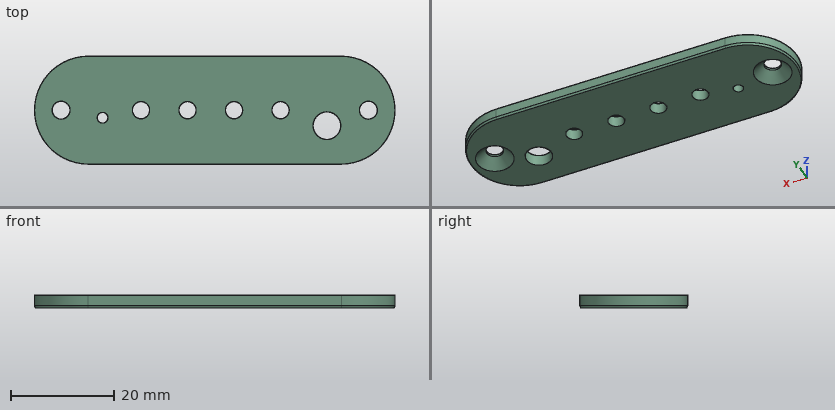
import cadquery as cq

length = 70.0
width = 21.0
thickness = 2.5
end_arc_start = 24.6

chamfer_height = 0.5
chamfer_inset = 0.2

row_count = 4
row_pitch = 9.0
row_center_x = -0.8
row_diameter = 3.3

screw_x = 29.8
screw_diameter = 3.4
screw_lip = 0.5
countersink_diameter = 7.5

small_x = -21.8
small_y = -1.5
small_diameter = 2.0
large_x = 21.8
large_y = -3.0
large_diameter = 5.3


def outline(inset):
    """Plate outline at Z = 0, moved inward by inset."""
    half_length = length / 2 - inset
    half_width = width / 2 - inset
    return (
        cq.Workplane("XY")
        .moveTo(-end_arc_start, -half_width)
        .lineTo(end_arc_start, -half_width)
        .threePointArc((half_length, 0), (end_arc_start, half_width))
        .lineTo(-end_arc_start, half_width)
        .threePointArc((-half_length, 0), (-end_arc_start, -half_width))
        .close()
    )


def cylinders(points, diameter, height):
    """Cutting cylinders rising from the underside."""
    return cq.Workplane("XY").pushPoints(points).circle(diameter / 2).extrude(height)


def countersinks(points):
    """Cutting cones narrowing from the underside to the screw hole diameter."""
    depth = thickness - screw_lip
    cone = cq.Solid.makeCone(countersink_diameter / 2, screw_diameter / 2, depth)
    return cq.Workplane("XY").pushPoints(points).eachpoint(lambda place: cone.moved(place))


upper_height = thickness - chamfer_height
upper = outline(0).extrude(upper_height).translate((0, 0, chamfer_height))
lower_wires = [
    outline(chamfer_inset).wires().val(),
    outline(0).wires().val().translate(cq.Vector(0, 0, chamfer_height)),
]
lower = cq.Workplane(cq.Solid.makeLoft(lower_wires, True))
plate = upper.union(lower)

row_start = row_center_x - row_pitch * (row_count - 1) / 2
row_points = [(row_start + i * row_pitch, 0) for i in range(row_count)]
screw_points = [(-screw_x, 0), (screw_x, 0)]

result = (
    plate
    .cut(cylinders(row_points, row_diameter, thickness))
    .cut(cylinders([(small_x, small_y)], small_diameter, thickness))
    .cut(cylinders([(large_x, large_y)], large_diameter, thickness))
    .cut(cylinders(screw_points, screw_diameter, thickness))
    .cut(countersinks(screw_points))
)